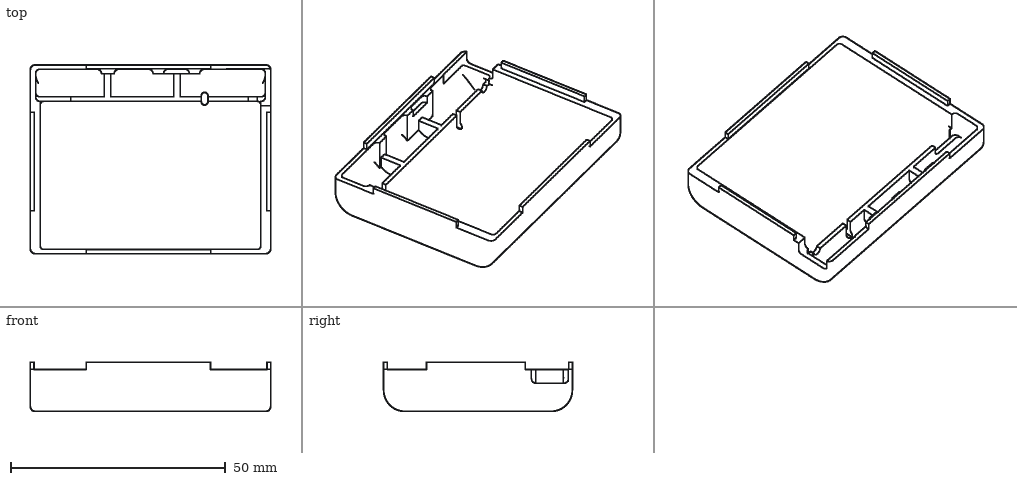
import cadquery as cq
import math

LENGTH = 56.0
WIDTH = 44.0
RIM_Z = 9.8
TOTAL_HEIGHT = 11.5
BELLY_RADIUS = 5.0
END_RADIUS = 1.2
WALL = 1.0
REAR_WALL = 1.05
INNER_RADIUS = 1.0
CORNER_RADIUS = 0.9
CLEARANCE = 1.0

LIP_THICKNESS = 0.9
LONG_LIP_X = (-15.0, 14.0)
SHORT_LIP_Y = (-12.0, 11.0)

MAIN_HALF_LENGTH = 25.7
REAR_HALF_LENGTH = 26.75
PARTITION_Y = 13.5
PARTITION_THICKNESS = 1.05
PARTITION_TOP_Z = 5.0

RIB_WIDTH = 1.5
RIB_CENTERS_X = (-10.0, 6.15)
PAD_DEPTH = 1.05
PADS_X = ((-11.4, -8.45), (0.6, 11.45))
RECESS_X = (3.05, 9.05)
RECESS_DEPTH_Z = 1.9

SLOT_CENTER = (12.6, 14.1)
SLOT_LENGTH = 2.9
SLOT_WIDTH = 1.5
PASSAGE_END_X = -18.6
PASSAGE_BOTTOM_Z = 2.2
PASSAGE_RADIUS = 1.1
WIRE_NOTCH_X = 23.75
WIRE_NOTCH_DIAMETER = 2.1

PORT_START_X = 17.8
PORT_Y = (12.45, 21.05)
PORT_BOTTOM_Z = 6.6

half_length = LENGTH / 2
half_width = WIDTH / 2
cavity_y = half_width - WALL
inner_belly_radius = BELLY_RADIUS - WALL
partition_back_y = PARTITION_Y + PARTITION_THICKNESS
rear_cavity_y = half_width - REAR_WALL
pad_face_y = rear_cavity_y - PAD_DEPTH
cut_top_z = TOTAL_HEIGHT + CLEARANCE


def box_between(x_range, y_range, z_range):
    """Axis-aligned box given by its limits."""
    size = [high - low for low, high in (x_range, y_range, z_range)]
    corner = (x_range[0], y_range[0], z_range[0])
    return cq.Workplane("XY").box(*size, centered=False).translate(corner)


def trough(half_x, y_range, z_range, front_radius, back_radius):
    """Block with rounded long bottom edges and plain ends."""
    block = box_between((-half_x, half_x), y_range, z_range)
    block = block.edges("|X and <Z and <Y").fillet(front_radius)
    return block.edges("|X and <Z and >Y").fillet(back_radius)


def tub(half_x, y_range, z_range, front_radius, back_radius, end_radius):
    """Trough block with filleted end faces and a flat top."""
    block = trough(half_x, y_range, z_range, front_radius, back_radius)
    return block.faces("<X or >X").edges("not >Z").fillet(end_radius)


def outer_body():
    """Solid shell block up to the rim."""
    return tub(half_length, (-half_width, half_width), (0, RIM_Z),
               BELLY_RADIUS, BELLY_RADIUS, END_RADIUS)


def lips():
    """Four thin lips standing on the rim, flush with the outer faces."""
    z_range = (RIM_Z - WALL, TOTAL_HEIGHT)
    inner_y = half_width - LIP_THICKNESS
    inner_x = half_length - LIP_THICKNESS
    front = box_between(LONG_LIP_X, (-half_width, -inner_y), z_range)
    back = box_between(LONG_LIP_X, (inner_y, half_width), z_range)
    left = box_between((-half_length, -inner_x), SHORT_LIP_Y, z_range)
    right = box_between((inner_x, half_length), SHORT_LIP_Y, z_range)
    return front.union(back).union(left).union(right)


def main_cavity():
    """Large cavity; its rear corners are square above the partition."""
    lower = tub(MAIN_HALF_LENGTH, (-cavity_y, PARTITION_Y), (WALL, cut_top_z),
                inner_belly_radius, INNER_RADIUS, CORNER_RADIUS)
    x_range = (-MAIN_HALF_LENGTH, MAIN_HALF_LENGTH)
    upper = box_between(x_range, (0, PARTITION_Y), (PARTITION_TOP_Z, cut_top_z))
    return lower.union(upper)


def rear_compartment():
    """Space behind the partition, continued over the partition's top."""
    x_range = (-REAR_HALF_LENGTH, REAR_HALF_LENGTH)
    z_range = (WALL, cut_top_z)
    rounded_box = box_between(x_range, (partition_back_y, rear_cavity_y), z_range)
    rounded_box = rounded_box.edges("|Z or <Z").fillet(INNER_RADIUS)
    lower = rounded_box.intersect(
        trough(REAR_HALF_LENGTH, (partition_back_y, cavity_y), z_range, INNER_RADIUS, inner_belly_radius))
    upper = box_between(x_range, (PARTITION_Y, rear_cavity_y), (PARTITION_TOP_Z, cut_top_z))
    return lower.union(upper.edges("|Z").fillet(INNER_RADIUS))


def ribs():
    """Low cross ribs joining the partition to the pads on the back wall."""
    rib_set = cq.Workplane("XY")
    for x in RIB_CENTERS_X:
        x_range = (x - RIB_WIDTH / 2, x + RIB_WIDTH / 2)
        y_range = (PARTITION_Y + PARTITION_THICKNESS / 2, pad_face_y)
        rib_set = rib_set.union(box_between(x_range, y_range, (WALL / 2, PARTITION_TOP_Z)))
    return rib_set


def pad(x_range):
    """Full-height pad on the back wall with concave flanks."""
    left, right = x_range
    sweep = PAD_DEPTH * math.sin(math.radians(45))
    outline = (
        cq.Workplane("XY")
        .moveTo(left, pad_face_y)
        .lineTo(right, pad_face_y)
        .threePointArc((right + PAD_DEPTH - sweep, pad_face_y + sweep), (right + PAD_DEPTH, rear_cavity_y))
        .lineTo(right + PAD_DEPTH, half_width)
        .lineTo(left - PAD_DEPTH, half_width)
        .lineTo(left - PAD_DEPTH, rear_cavity_y)
        .threePointArc((left - PAD_DEPTH + sweep, pad_face_y + sweep), (left, pad_face_y))
        .close()
    )
    return outline.extrude(RIM_Z)


def pad_recess():
    """Shallow pocket in the top of the wide pad, rounded at its back corners."""
    pocket = box_between(RECESS_X, (pad_face_y - CLEARANCE, rear_cavity_y), (RIM_Z - RECESS_DEPTH_Z, RIM_Z))
    return pocket.edges("|Z and >Y").fillet(INNER_RADIUS)


def strap_slot():
    """Vertical slot through the floor and the partition."""
    return (
        cq.Workplane("XY")
        .center(*SLOT_CENTER)
        .slot2D(SLOT_LENGTH, SLOT_WIDTH, 90)
        .extrude(cut_top_z)
    )


def partition_passage():
    """Low stretch of the partition next to the -X wall, curving up to full height."""
    x_range = (-REAR_HALF_LENGTH, PASSAGE_END_X)
    y_range = (PARTITION_Y, partition_back_y + 2 * INNER_RADIUS)
    passage = box_between(x_range, y_range, (PASSAGE_BOTTOM_Z, cut_top_z))
    passage = passage.edges("|Z and <X and <Y").fillet(INNER_RADIUS)
    return passage.edges("|Y and >X and <Z").fillet(PASSAGE_RADIUS)


def wire_notch():
    """Half-round notch across the top of the partition."""
    return (
        cq.Workplane("XZ", origin=(WIRE_NOTCH_X, partition_back_y, PARTITION_TOP_Z))
        .circle(WIRE_NOTCH_DIAMETER / 2)
        .extrude(PARTITION_THICKNESS)
    )


def side_port():
    """Opening through the +X wall that also relieves the inside of the back wall."""
    opening = box_between((PORT_START_X, half_length + CLEARANCE), PORT_Y, (PORT_BOTTOM_Z, cut_top_z))
    return opening.edges("|X and <Z").fillet(INNER_RADIUS)


body = outer_body().union(lips())
body = body.cut(main_cavity()).cut(rear_compartment())
inserts = ribs()
for pad_range in PADS_X:
    inserts = inserts.union(pad(pad_range))
body = body.union(inserts.intersect(outer_body()))
body = body.cut(pad_recess()).cut(strap_slot()).cut(side_port())
body = body.cut(partition_passage()).cut(wire_notch())

result = body